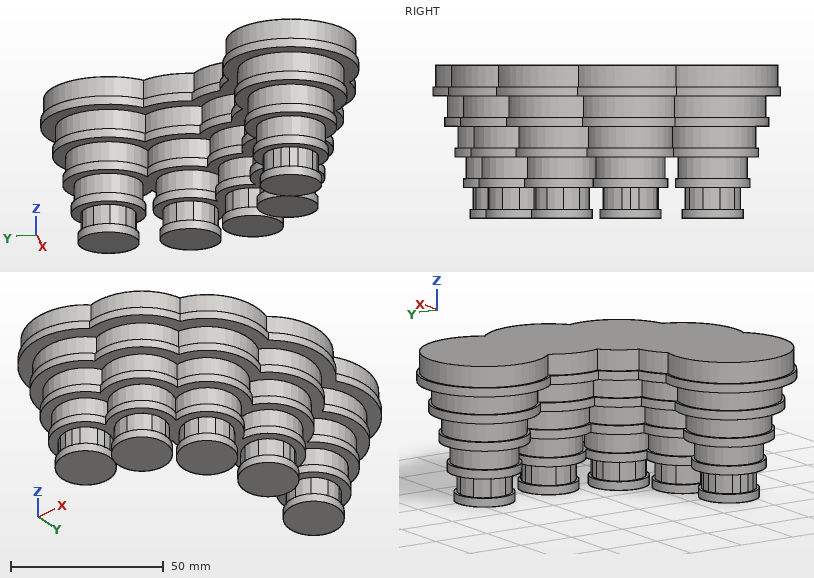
import cadquery as cq
import math


OVERALL_LENGTH = 113.7

COLUMN_COUNT = 5
COLUMN_PITCH = 20.0
COLUMN_STEP_ANGLE = 15.0

TIER_HEIGHT = 10.0
FLANGE_HEIGHT = 3.0
DRUM_HEIGHT = TIER_HEIGHT - FLANGE_HEIGHT
FLANGE_LIP = 0.9

SPIRAL_LENGTH = (COLUMN_COUNT - 1) * COLUMN_PITCH * math.sin(
    math.radians((COLUMN_COUNT - 1) * COLUMN_STEP_ANGLE)
)
TOP_FLANGE_DIAMETER = OVERALL_LENGTH - SPIRAL_LENGTH

TIERS = [
    (20.0, 20),
    (24.5, 25),
    (29.9, 31),
    (36.6, 38),
    (TOP_FLANGE_DIAMETER, 46),
]


def flange(diameter, bottom):
    """Round disc with its underside at the given height."""
    return cq.Workplane("XY", origin=(0, 0, bottom)).circle(diameter / 2).extrude(FLANGE_HEIGHT)


def drum(corner_diameter, sides, bottom):
    """Regular prism, turned half a side so that a flat faces +X."""
    half_side_angle = 180.0 / sides
    return (
        cq.Workplane("XY")
        .polygon(sides, corner_diameter)
        .extrude(DRUM_HEIGHT)
        .rotate((0, 0, 0), (0, 0, 1), half_side_angle)
        .translate((0, 0, bottom))
    )


def on_spiral(body, index):
    """Move a body out to its column's place and turn it with the spiral."""
    return body.translate((index * COLUMN_PITCH, 0, 0)).rotate(
        (0, 0, 0), (0, 0, 1), index * COLUMN_STEP_ANGLE
    )


def row_of_columns(body):
    """Join copies of a body, one at each column."""
    row = body
    for index in range(1, COLUMN_COUNT):
        row = row.union(on_spiral(body, index))
    return row


def tier(level, flange_diameter, sides):
    """Flanges and drums of all columns at one level."""
    bottom = level * TIER_HEIGHT
    drum_diameter = flange_diameter - 2 * FLANGE_LIP
    flanges = row_of_columns(flange(flange_diameter, bottom))
    drums = row_of_columns(drum(drum_diameter, sides, bottom + FLANGE_HEIGHT))
    return flanges.union(drums)


result = None
for level, (flange_diameter, sides) in reversed(list(enumerate(TIERS))):
    layer = tier(level, flange_diameter, sides)
    result = layer if result is None else result.union(layer)